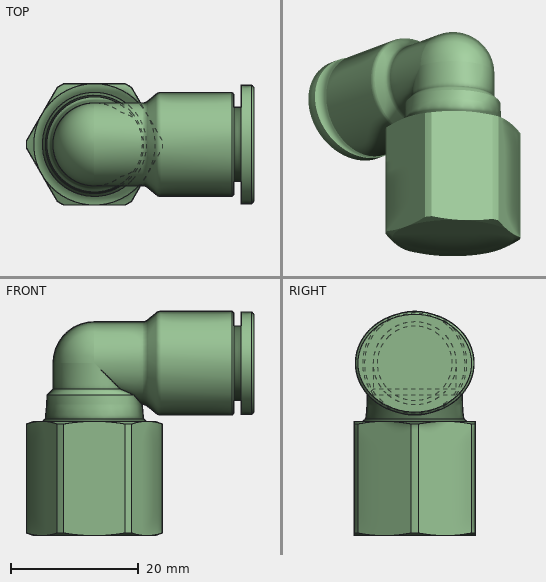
import cadquery as cq
import math

tube_axis_height = 27.0
elbow_radius = 6.5

hex_across_flats = 19.0
hex_height = 17.9
hex_corner_radius = 10.65
hex_chamfer_angle = 20.0

collar_flare_radius = 8.15
collar_flare_top = 18.3
collar_base_radius = 7.7
collar_break_radius = 7.5
collar_break_height = tube_axis_height - elbow_radius
collar_top_radius = 7.45
collar_top = 22.0
collar_shoulder_top = collar_top + collar_top_radius - elbow_radius

port_radius = 8.15
port_cone_start = 8.0
port_cone_end = 10.0
port_cone_blend = 1.0
port_end = 21.85
port_end_chamfer = 0.3

button_stem_radius = 5.85
button_start = 22.95
button_end = 25.0
button_half_width = 9.3
button_half_height = 8.05
button_chamfer = 0.4


def make_hex():
    """Hexagonal prism with turned corners and conical chamfers at both ends."""
    across_corners = hex_across_flats / math.cos(math.pi / 6)
    prism = cq.Workplane("XY").polygon(6, across_corners).extrude(hex_height)
    face_radius = hex_across_flats / 2
    chamfer_height = (hex_corner_radius - face_radius) * math.tan(math.radians(hex_chamfer_angle))
    turned_blank = (
        cq.Workplane("XZ")
        .moveTo(0, 0)
        .lineTo(face_radius, 0)
        .lineTo(hex_corner_radius, chamfer_height)
        .lineTo(hex_corner_radius, hex_height - chamfer_height)
        .lineTo(face_radius, hex_height)
        .lineTo(0, hex_height)
        .close()
        .revolve(360, (0, 0), (0, 1))
    )
    return prism.intersect(turned_blank)


def make_collar():
    """Tapered collar and vertical elbow leg, up to the tube axis."""
    return (
        cq.Workplane("XZ")
        .moveTo(0, hex_height)
        .lineTo(collar_flare_radius, hex_height)
        .lineTo(collar_base_radius, collar_flare_top)
        .lineTo(collar_break_radius, collar_break_height)
        .lineTo(collar_top_radius, collar_top)
        .lineTo(elbow_radius, collar_shoulder_top)
        .lineTo(elbow_radius, tube_axis_height)
        .lineTo(0, tube_axis_height)
        .close()
        .revolve(360, (0, 0), (0, 1))
    )


def make_elbow_dome():
    """Ball that rounds the outside of the elbow."""
    return cq.Workplane("XY").sphere(elbow_radius).translate((0, 0, tube_axis_height))


def make_port():
    """Horizontal elbow leg widening through a blended cone into the tube port."""
    cone_slope = math.atan2(port_radius - elbow_radius, port_cone_end - port_cone_start)
    tangent_length = port_cone_blend * math.tan(cone_slope / 2)
    along = tangent_length * math.cos(cone_slope)
    rise = tangent_length * math.sin(cone_slope)
    profile = (
        cq.Workplane("XZ", origin=(0, 0, tube_axis_height))
        .moveTo(0, 0)
        .lineTo(0, elbow_radius)
        .lineTo(port_cone_start - tangent_length, elbow_radius)
        .tangentArcPoint((port_cone_start + along, elbow_radius + rise), relative=False)
        .lineTo(port_cone_end - along, port_radius - rise)
        .tangentArcPoint((port_cone_end + tangent_length, port_radius), relative=False)
        .lineTo(port_end - port_end_chamfer, port_radius)
        .lineTo(port_end, port_radius - port_end_chamfer)
        .lineTo(port_end, 0)
        .close()
    )
    return profile.revolve(360, (0, 0), (1, 0))


def make_button():
    """Round stem carrying the oval release button."""
    stem = (
        cq.Workplane("YZ", origin=(port_end, 0, tube_axis_height))
        .circle(button_stem_radius)
        .extrude(button_start - port_end)
    )
    oval = (
        cq.Workplane("YZ", origin=(button_start, 0, tube_axis_height))
        .ellipse(button_half_width, button_half_height)
        .extrude(button_end - button_start)
        .faces(">X")
        .edges()
        .chamfer(button_chamfer)
    )
    return stem.union(oval)


result = make_hex()
for section in (make_collar(), make_elbow_dome(), make_port(), make_button()):
    result = result.union(section)